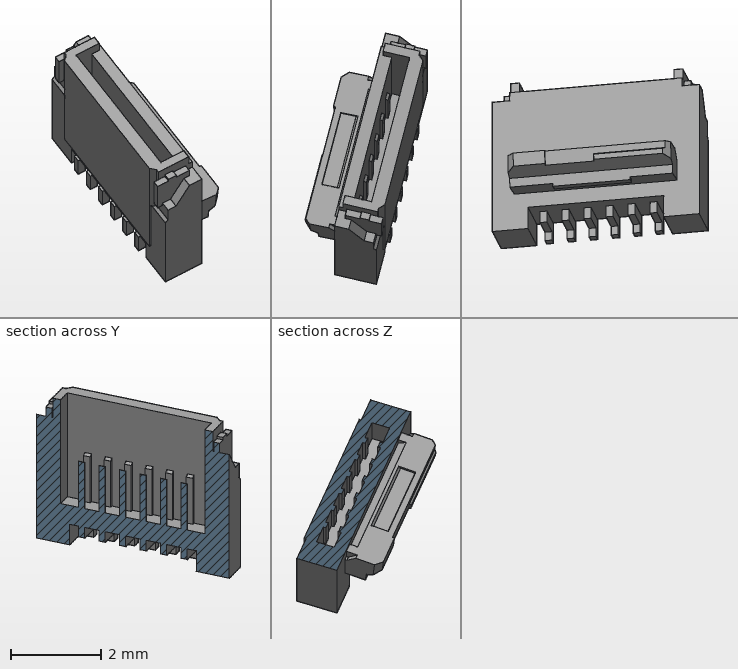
import cadquery as cq
import math

WIDTH = 4.7
HEIGHT = 3.6
BACK_Y = 1.018
FACE_Y = 0.06
PANEL_Y = 0.013

SHOULDER_TOP = 3.145
SHOULDER_FLOOR = 2.63
SLOPE_TOP_Y = 0.693
SLOPE_BOTTOM_Y = 0.34
STEP_Z = 2.20
STEP_BEVEL = 0.07
RELIEF_Y = FACE_Y + STEP_BEVEL

TOWER_HALF = 1.955
PANEL_HALF = 1.755
RELIEF_HALF = 1.875
PANEL_BOTTOM = 0.685
BACK_WALL_TOP = 3.34
ARM_BACK_Y = 0.926
SLOT_FRONT_Y = 0.317
SLOT_BACK_Y = 0.728
SLOT_FLOOR = 1.0

PIN_COUNT = 6
PIN_PITCH = 0.5
PIN_WIDTH = 0.16
PIN_DEPTH = 0.19
PIN_BOTTOM = 0.045
PIN_TOP = 0.547
PIN_TAIL_BOTTOM = 0.25
NOTCH_HALF = 1.54
NOTCH_TOP = 0.515
CONTACT_REACH = 0.062
CONTACT_TOP = 2.2
CONTACT_DROP = 0.05

TAB_INNER = 1.967
TAB_THICKNESS = 0.153
TAB_BACK_Y = 0.834
TAB_BOTTOM = 2.55
TAB_TOP = BACK_WALL_TOP
BUMP_FRONT_Y = 0.287
BUMP_BACK_Y = 0.495
BUMP_HEIGHT = 0.06

LATCH_TILT = 5.0
LATCH_ROOT_Z = 1.55
LATCH_HALF = 1.848
LATCH_LENGTH = 0.857
LATCH_EMBED = 0.1
LATCH_BOTTOM = -0.685
LATCH_STEP_U = 0.547
LATCH_STEP_W = -0.479
LATCH_TIP_W = -0.309
TIP_BEVEL = 0.153
TIP_RECESS = 0.047
LEFT_PAD_END = -0.125
RIGHT_PAD_START = 0.98
LEFT_PAD_TOP = -0.19
LEFT_PAD_TOP_RISE = 0.03
FOOT_INNER_U = 0.361
FOOT_BOTTOM = -0.75
FOOT_HALF = 0.875
POCKET_HALF = 0.875
POCKET_INNER_U = 0.262
POCKET_OUTER_U = 0.66
POCKET_DEPTH = 0.05
SIDE_NOTCH_WIDTH = 0.093
SIDE_NOTCH_START = 0.26
SIDE_NOTCH_END = 0.066
SIDE_NOTCH_DEPTH = 0.19
GROOVE_HALF = 1.543
GROOVE_START = 0.19
GROOVE_END = 0.053
GROOVE_DEPTH = 0.1
GROOVE_ROOT_DEPTH = 0.14

CLEARANCE = 0.2


def block(x0, x1, y0, y1, z0, z1):
    """Box between the given limits."""
    return cq.Workplane("XY").box(x1 - x0, y1 - y0, z1 - z0, centered=False).translate((x0, y0, z0))


def side_prism(points, x0, x1):
    """Closed (Y, Z) outline extruded from x0 to x1."""
    return cq.Workplane("YZ").workplane(offset=x0).polyline(points).close().extrude(x1 - x0)


def pin_positions():
    first = -PIN_PITCH * (PIN_COUNT - 1) / 2
    return [first + i * PIN_PITCH for i in range(PIN_COUNT)]


def make_shoulders():
    outline = [
        (BACK_Y, 0),
        (FACE_Y, 0),
        (FACE_Y, STEP_Z),
        (RELIEF_Y, STEP_Z + STEP_BEVEL),
        (RELIEF_Y, SHOULDER_FLOOR),
        (SLOPE_BOTTOM_Y, SHOULDER_FLOOR),
        (SLOPE_TOP_Y, SHOULDER_TOP),
        (BACK_Y, SHOULDER_TOP),
    ]
    return side_prism(outline, -WIDTH / 2, WIDTH / 2)


def make_tower():
    outline = [
        (-TOWER_HALF, BACK_Y),
        (-TOWER_HALF, RELIEF_Y),
        (-RELIEF_HALF, RELIEF_Y),
        (-PANEL_HALF, PANEL_Y),
        (PANEL_HALF, PANEL_Y),
        (RELIEF_HALF, RELIEF_Y),
        (TOWER_HALF, RELIEF_Y),
        (TOWER_HALF, BACK_Y),
    ]
    tower = cq.Workplane("XY").workplane(offset=STEP_Z).polyline(outline).close().extrude(HEIGHT - STEP_Z)
    panel = block(-PANEL_HALF, PANEL_HALF, PANEL_Y, BACK_Y, PANEL_BOTTOM, HEIGHT)
    behind_arms = block(-WIDTH, WIDTH, ARM_BACK_Y, BACK_Y + CLEARANCE, BACK_WALL_TOP, HEIGHT + CLEARANCE)
    between_arms = block(
        -PANEL_HALF, PANEL_HALF, SLOT_BACK_Y, BACK_Y + CLEARANCE, BACK_WALL_TOP, HEIGHT + CLEARANCE
    )
    return tower.union(panel).cut(behind_arms).cut(between_arms)


def make_slot():
    return block(-PANEL_HALF, PANEL_HALF, SLOT_FRONT_Y, SLOT_BACK_Y, SLOT_FLOOR, HEIGHT + CLEARANCE)


def make_contact(x, wall_y, direction):
    """Contact rib on a slot wall, its top sloping back into that wall."""
    rib_y = wall_y + direction * CONTACT_REACH
    buried_y = wall_y - direction * CONTACT_REACH
    buried_z = SLOT_FLOOR - CONTACT_REACH
    outline = [
        (buried_y, buried_z),
        (rib_y, buried_z),
        (rib_y, CONTACT_TOP - CONTACT_DROP),
        (wall_y, CONTACT_TOP),
        (buried_y, CONTACT_TOP),
    ]
    return side_prism(outline, x - PIN_WIDTH / 2, x + PIN_WIDTH / 2)


def make_pin(x):
    """L-shaped pin: a front leg and a tail running back below the slot."""
    outline = [
        (0, PIN_TOP),
        (0, PIN_BOTTOM),
        (PIN_DEPTH, PIN_BOTTOM),
        (PIN_DEPTH, PIN_TAIL_BOTTOM),
        (SLOT_BACK_Y, PIN_TAIL_BOTTOM),
        (SLOT_BACK_Y, PIN_TOP),
    ]
    return side_prism(outline, x - PIN_WIDTH / 2, x + PIN_WIDTH / 2)


def make_tab(side):
    """Upright plate beside the tower; side is -1 or 1."""
    x0, x1 = sorted((side * TAB_INNER, side * (TAB_INNER + TAB_THICKNESS)))
    plate = block(x0, x1, 0, TAB_BACK_Y, TAB_BOTTOM, TAB_TOP)
    bump = block(x0, x1, BUMP_FRONT_Y, BUMP_BACK_Y, TAB_TOP, TAB_TOP + BUMP_HEIGHT)
    return plate.union(bump)


def latch_point(u, w):
    """(Y, Z) position of a point given along the tilted latch axes."""
    tilt = math.radians(LATCH_TILT)
    y = BACK_Y + u * math.cos(tilt) + w * math.sin(tilt)
    z = LATCH_ROOT_Z - u * math.sin(tilt) + w * math.cos(tilt)
    return (y, z)


def latch_prism(points, x0, x1):
    return side_prism([latch_point(u, w) for u, w in points], x0, x1)


def latch_block(u0, u1, w0, w1, x0, x1):
    return latch_prism([(u0, w0), (u1, w0), (u1, w1), (u0, w1)], x0, x1)


def cut_latch_tip(latch):
    """Corner bevels and the recesses that leave two raised pads on the tip."""
    tilt = math.radians(LATCH_TILT)
    tilted = cq.Plane(
        origin=(0, *latch_point(0, CLEARANCE)),
        xDir=(1, 0, 0),
        normal=(0, math.sin(tilt), math.cos(tilt)),
    )
    cut_depth = CLEARANCE - LATCH_BOTTOM
    for side in (-1, 1):
        corner = [
            (side * LATCH_HALF, LATCH_LENGTH - TIP_BEVEL),
            (side * LATCH_HALF, LATCH_LENGTH),
            (side * (LATCH_HALF - TIP_BEVEL), LATCH_LENGTH),
        ]
        latch = latch.cut(cq.Workplane(tilted).polyline(corner).close().extrude(-cut_depth))
    recess_u = LATCH_LENGTH - TIP_RECESS
    end_u = LATCH_LENGTH + CLEARANCE
    latch = latch.cut(latch_block(recess_u, end_u, LATCH_BOTTOM, CLEARANCE, LEFT_PAD_END, RIGHT_PAD_START))
    above_left_pad = [
        (recess_u, LEFT_PAD_TOP + LEFT_PAD_TOP_RISE),
        (LATCH_LENGTH, LEFT_PAD_TOP),
        (end_u, LEFT_PAD_TOP),
        (end_u, CLEARANCE),
        (recess_u, CLEARANCE),
    ]
    return latch.cut(latch_prism(above_left_pad, -LATCH_HALF, LEFT_PAD_END))


def cut_latch_top(latch):
    """Shallow pocket, root groove and side notches in the top face."""
    pocket = [
        (POCKET_INNER_U, 0),
        (POCKET_INNER_U + POCKET_DEPTH, -POCKET_DEPTH),
        (POCKET_OUTER_U, -POCKET_DEPTH),
        (POCKET_OUTER_U, 0),
    ]
    groove = [
        (GROOVE_START, 0),
        (GROOVE_END, -GROOVE_DEPTH),
        (0, -GROOVE_ROOT_DEPTH),
        (0, 0),
    ]
    side_notch = [
        (SIDE_NOTCH_START, 0),
        (SIDE_NOTCH_END, -SIDE_NOTCH_DEPTH),
        (0, -SIDE_NOTCH_DEPTH),
        (0, 0),
    ]
    notch_inner = LATCH_HALF - SIDE_NOTCH_WIDTH
    latch = latch.cut(latch_prism(pocket, -POCKET_HALF, POCKET_HALF))
    latch = latch.cut(latch_prism(groove, -GROOVE_HALF, GROOVE_HALF))
    latch = latch.cut(latch_prism(side_notch, -LATCH_HALF, -notch_inner))
    return latch.cut(latch_prism(side_notch, notch_inner, LATCH_HALF))


def make_latch():
    outline = [
        (-LATCH_EMBED, 0),
        (LATCH_LENGTH, 0),
        (LATCH_LENGTH, LATCH_TIP_W),
        (LATCH_STEP_U, LATCH_STEP_W),
        (LATCH_STEP_U, LATCH_BOTTOM),
        (-LATCH_EMBED, LATCH_BOTTOM),
    ]
    latch = latch_prism(outline, -LATCH_HALF, LATCH_HALF)
    foot = latch_block(FOOT_INNER_U, LATCH_STEP_U, FOOT_BOTTOM, LATCH_BOTTOM, -FOOT_HALF, FOOT_HALF)
    return cut_latch_top(cut_latch_tip(latch)).union(foot)


def make_part():
    notch = block(-NOTCH_HALF, NOTCH_HALF, -CLEARANCE, BACK_Y + CLEARANCE, -CLEARANCE, NOTCH_TOP)
    part = make_shoulders().union(make_tower()).union(make_latch())
    part = part.cut(notch).cut(make_slot())
    for side in (-1, 1):
        part = part.union(make_tab(side))
    for x in pin_positions():
        part = part.union(make_pin(x))
        part = part.union(make_contact(x, SLOT_FRONT_Y, 1))
        part = part.union(make_contact(x, SLOT_BACK_Y, -1))
    return part


result = make_part()